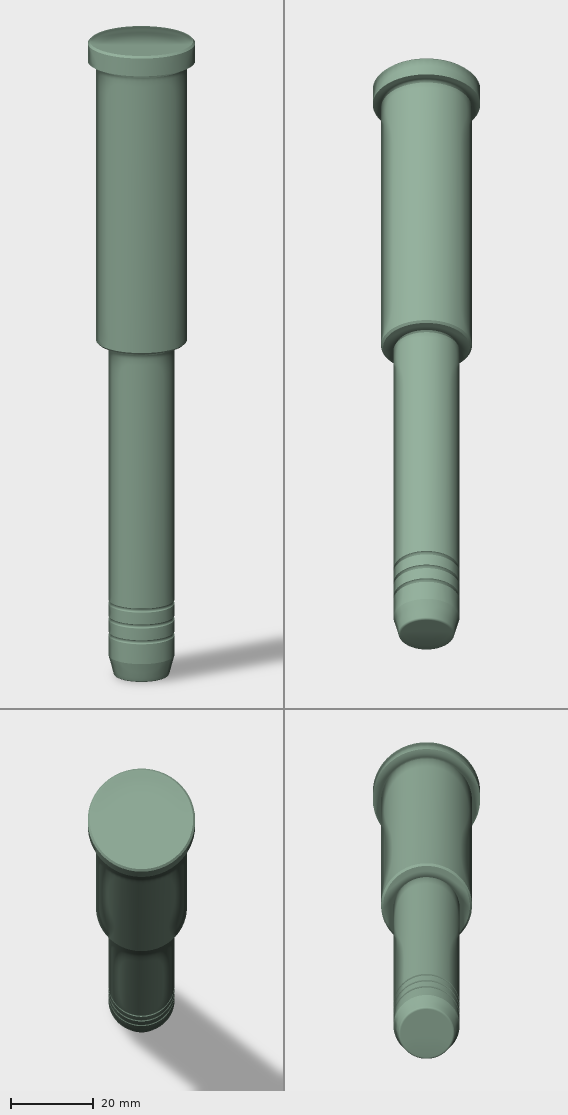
import cadquery as cq
import math

total_length = 160.0

head_radius = 26.0 / 2
head_height = 5.0
head_chamfer = 0.5

body_radius = 22.0 / 2
body_length = 71.0
body_chamfer = 0.5

pin_radius = 16.0 / 2
neck_width = 1.0
neck_depth = 0.5

tip_length = 5.0
tip_angle = 15.0
tip_fillet = 0.5

groove_width = 1.0
groove_depth = 0.5
groove_corner_radius = 0.49
tip_groove_count = 3
tip_groove_pitch = 4.0
first_tip_groove_bottom = 10.0

head_bottom = total_length - head_height
body_bottom = head_bottom - body_length
neck_bottom = body_bottom - neck_width
neck_radius = pin_radius - neck_depth
tip_end_radius = pin_radius - tip_length * math.tan(math.radians(tip_angle))


def stepped_shaft():
    """Revolve the stepped outline, without grooves, around the Z axis."""
    outline = [
        (0, 0),
        (tip_end_radius, 0),
        (pin_radius, tip_length),
        (pin_radius, neck_bottom),
        (neck_radius, neck_bottom),
        (neck_radius, body_bottom),
        (body_radius - body_chamfer, body_bottom),
        (body_radius, body_bottom + body_chamfer),
        (body_radius, head_bottom),
        (head_radius, head_bottom),
        (head_radius, total_length - head_chamfer),
        (head_radius - head_chamfer, total_length),
        (0, total_length),
    ]
    shaft = cq.Workplane("XZ").polyline(outline).close().revolve(360, (0, 0), (0, 1))
    return shaft.faces("<Z").edges().fillet(tip_fillet)


def ring_groove(shaft_radius, bottom):
    """Ring-shaped cutter for one groove in a shaft of the given radius."""
    top = bottom + groove_width
    floor_radius = shaft_radius - groove_depth
    corner_center_radius = floor_radius + groove_corner_radius
    section = (
        cq.Workplane("XZ")
        .moveTo(shaft_radius, bottom)
        .lineTo(corner_center_radius, bottom)
        .radiusArc((floor_radius, bottom + groove_corner_radius), groove_corner_radius)
        .lineTo(floor_radius, top - groove_corner_radius)
        .radiusArc((corner_center_radius, top), groove_corner_radius)
        .lineTo(shaft_radius, top)
        .close()
    )
    return section.revolve(360, (0, 0), (0, 1))


result = stepped_shaft().cut(ring_groove(body_radius, head_bottom - groove_width))
for groove_index in range(tip_groove_count):
    groove_bottom = first_tip_groove_bottom + groove_index * tip_groove_pitch
    result = result.cut(ring_groove(pin_radius, groove_bottom))